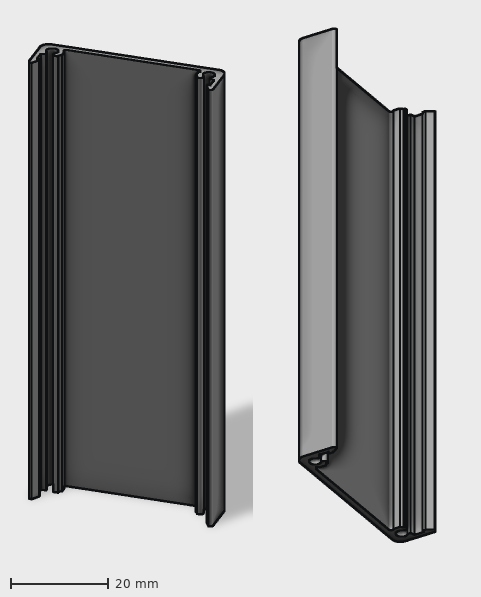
import cadquery as cq
import math

width = 40.0
depth = 9.5
length = 100.0

web_thickness = 1.5
leg_thickness = 1.2
corner_radius = 1.9

bore_center_x = 3.0
bore_center_depth = 2.9
bore_radius = 1.25
slot_width = 1.5
lip_depth = 4.6
lip_root_depth = 4.9

wall_outer_x = 5.5
wall_tip_depth = 4.9
wall_tip_outer_x = 4.9
wall_tip_radius = 0.5
wall_shoulder_depth = 4.0
wall_step_depth = 4.5
relief_radius = 0.5
relief_center_x = 5.7

catch_reach = 1.8
catch_top_depth = 7.2
catch_bottom_depth = 7.9
leg_tip_width = 0.8
leg_tip_radius = 0.6

half_width = width / 2
back_y = depth / 2
slot_half = slot_width / 2
slot_left = bore_center_x - slot_half
slot_right = bore_center_x + slot_half
bore_mouth_depth = bore_center_depth + math.sqrt(bore_radius**2 - slot_half**2)
relief_center_depth = web_thickness + relief_radius
relief_start_depth = relief_center_depth + math.sqrt(
    relief_radius**2 - (relief_center_x - wall_outer_x) ** 2
)
arc_inset = 1 - math.sqrt(0.5)
corner_inset = corner_radius * arc_inset
leg_tip_inset = leg_tip_radius * arc_inset
wall_tip_inset = wall_tip_radius * arc_inset


def at(x_from_side, depth_from_back):
    """Point measured from the left outer face and the back of the web."""
    return (x_from_side - half_width, back_y - depth_from_back)


def half_profile():
    """Left half of the cross-section, closed along the plane of symmetry."""
    return (
        cq.Workplane("XY")
        .moveTo(0, back_y)
        .lineTo(*at(corner_radius, 0))
        .threePointArc(at(corner_inset, corner_inset), at(0, corner_radius))
        .lineTo(*at(0, depth - leg_tip_radius))
        .threePointArc(at(leg_tip_inset, depth - leg_tip_inset), at(leg_tip_radius, depth))
        .lineTo(*at(leg_tip_width, depth))
        .lineTo(*at(catch_reach, catch_bottom_depth))
        .lineTo(*at(catch_reach, catch_top_depth))
        .lineTo(*at(leg_thickness, catch_top_depth))
        .lineTo(*at(leg_thickness, lip_root_depth))
        .lineTo(*at(slot_left, lip_depth))
        .lineTo(*at(slot_left, bore_mouth_depth))
        .threePointArc(
            at(bore_center_x, bore_center_depth - bore_radius),
            at(slot_right, bore_mouth_depth),
        )
        .lineTo(*at(slot_right, wall_tip_depth - wall_tip_radius))
        .threePointArc(
            at(slot_right + wall_tip_inset, wall_tip_depth - wall_tip_inset),
            at(slot_right + wall_tip_radius, wall_tip_depth),
        )
        .lineTo(*at(wall_tip_outer_x, wall_tip_depth))
        .lineTo(*at(wall_tip_outer_x, wall_step_depth))
        .lineTo(*at(wall_outer_x, wall_shoulder_depth))
        .lineTo(*at(wall_outer_x, relief_start_depth))
        .threePointArc(
            at(relief_center_x - relief_radius, relief_center_depth),
            at(relief_center_x, web_thickness),
        )
        .lineTo(0, back_y - web_thickness)
        .close()
    )


left_half = half_profile().extrude(length / 2, both=True)
result = left_half.union(left_half.mirror("YZ"))